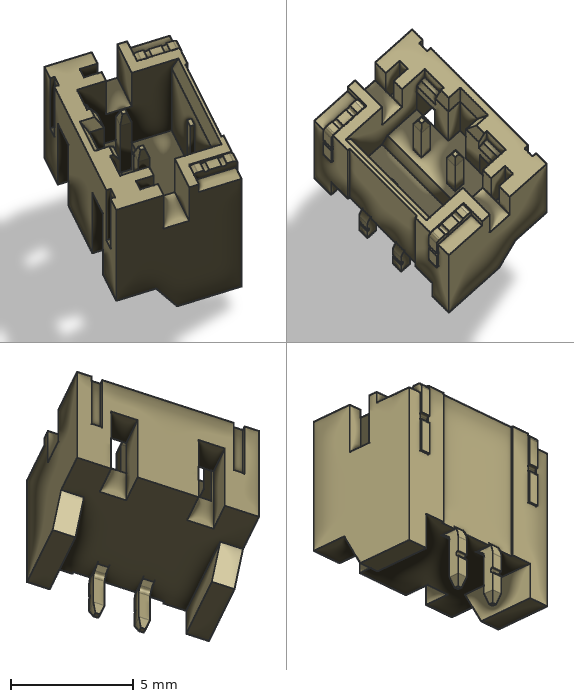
import cadquery as cq
import math


width = 8.0
depth = 5.5
height = 7.6
body_bottom = 1.6
foot_width = 1.0
foot_back_y = 2.68
foot_slope_y = 1.75

cavity_width = 4.8
cavity_front = 1.25
cavity_back = 4.95
floor_front = 3.5
floor_back = 3.0
floor_step_start = 2.9
floor_step_end = 3.2
lead_in = 0.3
lead_in_depth = 0.5
key_width = 1.04
key_front = 0.6
rib_width = 0.35
rib_thickness = 0.2
rib_top = 6.4

notch_inner_x = 1.29
notch_front = 0.8
shelf_z = 6.6
shelf_slope = 0.23
window_inner_x = 1.34
window_outer_x = 2.5
window_top = 5.6

slot_front = 2.08
slot_back = 3.2
slot_bottom = 5.4
groove_x = 3.13
groove_width = 0.47
groove_bottom = 4.3
slot_groove_front = 1.3
front_groove_depth = 0.2
back_recess_width = 4.0
back_recess_depth = 0.1

clip_front = 3.63
clip_back = 5.58
clip_seat_z = 7.1
clip_top = 7.55
clip_bottom = 4.4
clip_thickness = clip_top - clip_seat_z
clip_corner_radius = 0.19
clip_dip_depth = 0.06
clip_top_groove_radius = 0.12
clip_top_groove_ys = (4.22, 4.98)
clip_back_groove_radius = 0.16
clip_back_groove_z = 6.0

pin_pitch = 2.0
pin_size = 0.5
pin_front_y = 2.3
pin_top = 7.1
tip_length = 0.5
tip_size = 0.2
tail_y = clip_back - pin_size / 2
tail_bottom = -1.0
tail_bend_z = 1.2
inner_bend_radius = 0.3
bend_radius = inner_bend_radius + pin_size / 2
bend_angle = 64.0
tail_groove_radius = 0.11
tail_groove_z = 0.42


def block(x_range, y_range, z_range):
    """Box that fills the given X, Y and Z ranges."""
    size = [limits[1] - limits[0] for limits in (x_range, y_range, z_range)]
    corner = (x_range[0], y_range[0], z_range[0])
    return cq.Workplane("XY").box(*size, centered=False).translate(corner)


def centred(middle, size):
    """Range of the given size about a middle value."""
    return (middle - size / 2, middle + size / 2)


def extrude_yz(outline, x_range):
    """Extrude a (Y, Z) outline along X."""
    start, end = x_range
    return cq.Workplane("YZ", origin=(start, 0, 0)).polyline(outline).close().extrude(end - start)


def x_cylinder(y, z, radius, x_middle, length):
    """Cylinder along X."""
    plane = cq.Workplane("YZ", origin=(x_middle - length / 2, y, z))
    return plane.circle(radius).extrude(length)


def both_sides(shape):
    """A shape together with its mirror image across X = 0."""
    return shape.union(shape.mirror("YZ"))



def make_tip(x, y, z, direction):
    """Pyramid tip that narrows from the pin section; direction is +1 up or -1 down."""
    plane = cq.Plane(origin=(x, y, z), xDir=(1, 0, 0), normal=(0, 0, direction))
    taper = math.degrees(math.atan((pin_size - tip_size) / 2 / tip_length))
    return cq.Workplane(plane).rect(pin_size, pin_size).extrude(tip_length, taper=taper)


def make_pin(x):
    """Square pin: tail, slanted run under the floor, contact; joined by two round bends."""
    angle = math.radians(bend_angle)

    def bend_offset(turn):
        """Offset in Y and Z from the start of a bend after the given turn."""
        return bend_radius * (1 - math.cos(turn)), bend_radius * math.sin(turn)

    bend_y, bend_z = bend_offset(angle)
    middle_y, middle_z = bend_offset(angle / 2)
    run_y = tail_y - pin_front_y - 2 * bend_y
    run_z = run_y / math.tan(angle)
    contact_bend_z = tail_bend_z + 2 * bend_z + run_z
    tail_shank_z = tail_bottom + tip_length
    contact_shank_z = pin_top - tip_length

    path = (
        cq.Workplane("YZ", origin=(x, 0, 0))
        .moveTo(tail_y, tail_shank_z)
        .lineTo(tail_y, tail_bend_z)
        .threePointArc(
            (tail_y - middle_y, tail_bend_z + middle_z),
            (tail_y - bend_y, tail_bend_z + bend_z),
        )
        .lineTo(pin_front_y + bend_y, contact_bend_z - bend_z)
        .threePointArc(
            (pin_front_y + middle_y, contact_bend_z - middle_z),
            (pin_front_y, contact_bend_z),
        )
        .lineTo(pin_front_y, contact_shank_z)
    )
    shank = cq.Workplane("XY", origin=(x, tail_y, tail_shank_z)).rect(pin_size, pin_size).sweep(path)
    groove = x_cylinder(tail_y + pin_size / 2, tail_groove_z, tail_groove_radius, x, pin_size)
    tail_tip = make_tip(x, tail_y, tail_shank_z, -1)
    contact_tip = make_tip(x, pin_front_y, contact_shank_z, 1)
    return shank.union(tail_tip).union(contact_tip).cut(groove)



def make_clip_blank(x):
    """Angle strip: one arm lies on the housing top, the other runs down its back."""
    x_range = centred(x, groove_width)
    top_arm = block(x_range, (clip_front, clip_back), (clip_seat_z, clip_top))
    back_arm = block(x_range, (clip_back - clip_thickness, clip_back), (clip_bottom, clip_top))
    top_corners = cq.selectors.BoxSelector(
        (x - width, clip_front - clip_thickness, clip_top - clip_corner_radius),
        (x + width, clip_back + clip_thickness, clip_top + clip_corner_radius),
    )
    return top_arm.union(back_arm).edges("|X").edges(top_corners).fillet(clip_corner_radius)


def make_clip(x):
    """Clip with grooves and a shallow dip pressed into its outer faces."""
    clip = make_clip_blank(x)
    dip = block(centred(x, groove_width), clip_top_groove_ys, (clip_top - clip_dip_depth, clip_top))
    clip = clip.cut(dip)
    for y in clip_top_groove_ys:
        clip = clip.cut(x_cylinder(y, clip_top, clip_top_groove_radius, x, groove_width))
    back_groove = x_cylinder(clip_back, clip_back_groove_z, clip_back_groove_radius, x, groove_width)
    return clip.cut(back_groove)



def make_shell():
    """Block with a sloped foot under each end."""
    body = block(centred(0, width), (0, depth), (body_bottom, height))
    foot_outline = [
        (foot_slope_y, body_bottom),
        (foot_back_y, 0),
        (depth, 0),
        (depth, body_bottom),
    ]
    foot = extrude_yz(foot_outline, (width / 2 - foot_width, width / 2))
    return body.union(both_sides(foot))


def make_cavity():
    """Open-topped cavity with a stepped floor, a lead-in at the back and a wall rib left standing."""
    outline = [
        (cavity_front, floor_front),
        (floor_step_start, floor_front),
        (floor_step_end, floor_back),
        (cavity_back, floor_back),
        (cavity_back, height - lead_in_depth),
        (cavity_back + lead_in, height),
        (cavity_front, height),
    ]
    rib = block(
        centred(0, rib_width),
        (cavity_back - rib_thickness, cavity_back),
        (floor_back, rib_top),
    )
    return extrude_yz(outline, centred(0, cavity_width)).cut(rib)


def lead_in_pocket(x_range, y_range):
    """Pocket with four sloped sides that widen towards the rim; the ranges give its size at the bottom."""
    x_size = x_range[1] - x_range[0]
    y_size = y_range[1] - y_range[0]
    middle = (sum(x_range) / 2, sum(y_range) / 2, height - lead_in_depth)
    return (
        cq.Workplane("XY", origin=middle)
        .rect(x_size, y_size)
        .workplane(offset=lead_in_depth)
        .rect(x_size + 2 * lead_in, y_size + 2 * lead_in)
        .loft(ruled=True)
    )


def make_keyway():
    """Keyway in the front wall, with sloped sides at the rim and along the wall beside it."""
    key_x = centred(0, key_width)
    key = block(key_x, (key_front, cavity_front), (floor_front, height))
    key_slopes = lead_in_pocket(key_x, (key_front, slot_front))
    rim_outline = [
        (cavity_front, height - lead_in_depth),
        (cavity_front, height),
        (cavity_front - lead_in, height),
    ]
    rim_slope = extrude_yz(rim_outline, (-notch_inner_x, notch_inner_x))
    return key.union(key_slopes).union(rim_slope)


def make_latch_openings():
    """On each side: a rim notch above a sloped shelf, and a window below the shelf."""
    notch_outline = [
        (notch_front, shelf_z),
        (cavity_front - shelf_slope, shelf_z),
        (cavity_front, shelf_z - shelf_slope),
        (cavity_front, height),
        (notch_front, height),
    ]
    notch = extrude_yz(notch_outline, (notch_inner_x, cavity_width / 2))
    window = block((window_inner_x, window_outer_x), (0, cavity_front), (body_bottom, window_top))
    return both_sides(notch.union(window))


def make_side_slots():
    """Slots through the end walls, each with a vertical groove in its front face."""
    slot = block((cavity_width / 2, width / 2), (slot_front, slot_back), (slot_bottom, height))
    groove = block(
        centred(groove_x, groove_width),
        (slot_groove_front, slot_front),
        (groove_bottom, height),
    )
    return both_sides(slot.union(groove))


def make_outer_reliefs():
    """Clip seats on top, front grooves, and the shallow recess down the back."""
    seat = block(
        (groove_x - groove_width / 2, width / 2),
        (clip_front, depth),
        (clip_seat_z, height),
    )
    front_groove = block(
        centred(groove_x, groove_width),
        (0, front_groove_depth),
        (groove_bottom, height),
    )
    back_recess = block(
        centred(0, back_recess_width),
        (depth - back_recess_depth, depth),
        (body_bottom, height),
    )
    return both_sides(seat.union(front_groove)).union(back_recess)



clip_xs = (-groove_x, groove_x)
pins = [make_pin(x) for x in (-pin_pitch / 2, pin_pitch / 2)]
clips = [make_clip(x) for x in clip_xs]

housing = make_shell()
for opening in (
    make_cavity(),
    make_keyway(),
    make_latch_openings(),
    make_side_slots(),
    make_outer_reliefs(),
):
    housing = housing.cut(opening)
for pin in pins:
    housing = housing.cut(pin)
for x in clip_xs:
    housing = housing.cut(make_clip_blank(x))

bodies = [housing, *pins, *clips]
result = cq.Compound.makeCompound([body.solids().val() for body in bodies])